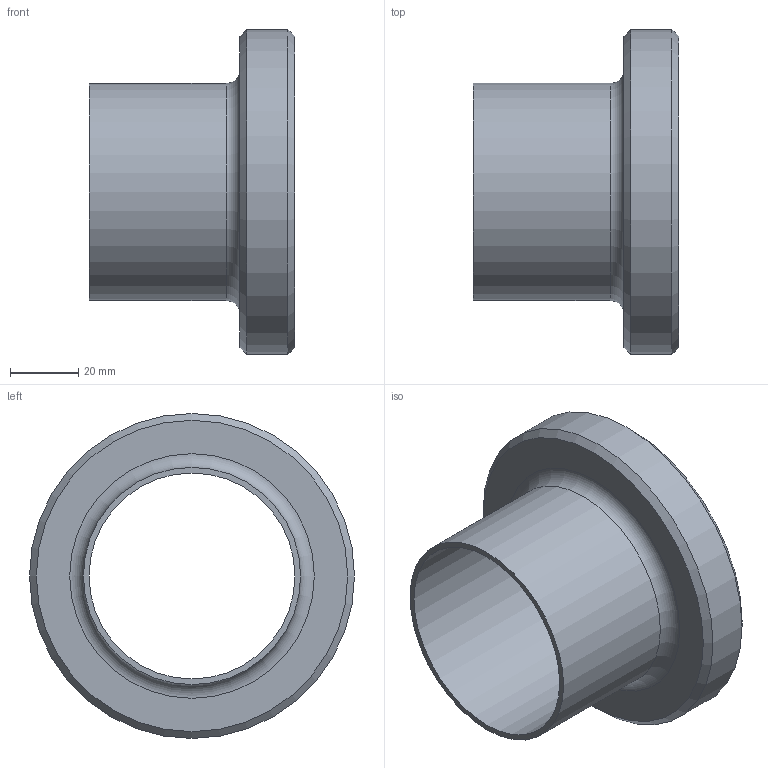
import cadquery as cq

total_length = 60.0
tube_diameter = 63.5
bore_diameter = 60.2
flange_diameter = 95.0
flange_thickness = 16.0
flange_chamfer = 2.0
neck_fillet = 4.0

tube_end_x = -total_length / 2
flange_end_x = total_length / 2
flange_face_x = flange_end_x - flange_thickness


def cylinder_along_x(start_x, length, diameter):
    """Solid cylinder on the X axis, growing towards +X from start_x."""
    return cq.Workplane("YZ", origin=(start_x, 0, 0)).circle(diameter / 2).extrude(length)


def make_flange():
    """Disc with both outer rims chamfered."""
    disc = cylinder_along_x(flange_face_x, flange_thickness, flange_diameter)
    return disc.edges("%CIRCLE").chamfer(flange_chamfer)


def make_neck():
    """Tube body flaring through a concave fillet onto the flange face."""
    tube_radius = tube_diameter / 2
    flare_radius = tube_radius + neck_fillet
    flare_start_x = flange_face_x - neck_fillet
    outline = (
        cq.Workplane("XY")
        .moveTo(tube_end_x, 0)
        .lineTo(tube_end_x, tube_radius)
        .lineTo(flare_start_x, tube_radius)
        .radiusArc((flange_face_x, flare_radius), -neck_fillet)
        .lineTo(flange_face_x, 0)
        .close()
    )
    return outline.revolve(360, (0, 0, 0), (1, 0, 0))


bore = cylinder_along_x(tube_end_x, total_length, bore_diameter)
result = make_flange().union(make_neck()).cut(bore)